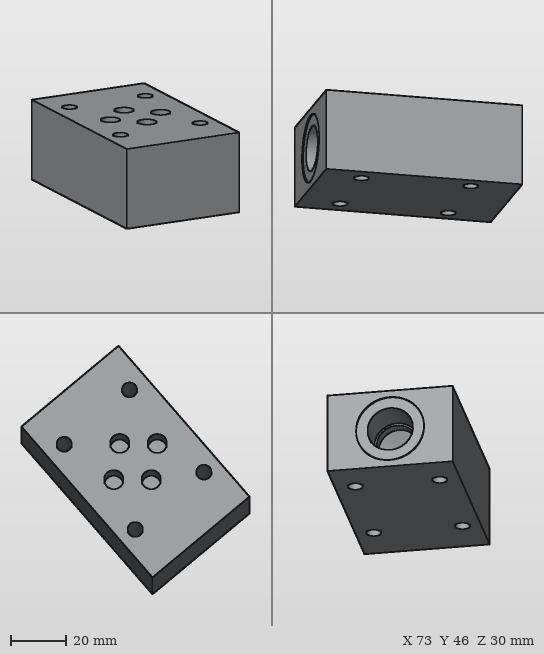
import cadquery as cq
import math

LENGTH = 73.0
WIDTH = 46.0
HEIGHT = 30.0

MOUNT_DIAMETER = 5.5
MOUNT_LEFT_X = -21.5
MOUNT_RIGHT_X = 19.0
MOUNT_LEFT_Y = 15.5
MOUNT_RIGHT_Y = 16.3

VALVE_PORT_DIAMETER = 7.0
VALVE_PORT_DEPTH = 10.0
VALVE_PORT_X = 8.75
VALVE_PORT_Y = 10.3

SPOTFACE_DIAMETER = 25.0
SPOTFACE_DEPTH = 0.5
THREAD_DIAMETER = 16.65
THREAD_DEPTH = 14.0
DRILL_DIAMETER = 15.0
DRILL_DEPTH = 18.0
DRILL_POINT_ANGLE = 118.0


def make_block():
    return cq.Workplane("XY").box(LENGTH, WIDTH, HEIGHT)


def cut_mounting_holes(body):
    centres = [
        (x, side * y)
        for x, y in [(MOUNT_LEFT_X, MOUNT_LEFT_Y), (MOUNT_RIGHT_X, MOUNT_RIGHT_Y)]
        for side in (-1, 1)
    ]
    return body.faces(">Z").workplane(origin=(0, 0, 0)).pushPoints(centres).hole(MOUNT_DIAMETER)


def cut_valve_ports(body):
    centres = [
        (-VALVE_PORT_X, 0),
        (VALVE_PORT_X, 0),
        (0, -VALVE_PORT_Y),
        (0, VALVE_PORT_Y),
    ]
    top = body.faces(">Z").workplane(origin=(0, 0, 0))
    return top.pushPoints(centres).hole(VALVE_PORT_DIAMETER, VALVE_PORT_DEPTH)


def cut_pressure_port(body):
    """Revolve the half profile of the port about the block's long axis."""
    face_x = -LENGTH / 2
    drill_radius = DRILL_DIAMETER / 2
    point_length = drill_radius / math.tan(math.radians(DRILL_POINT_ANGLE / 2))
    cavity = (
        cq.Workplane("XZ")
        .moveTo(face_x, 0)
        .lineTo(face_x, SPOTFACE_DIAMETER / 2)
        .lineTo(face_x + SPOTFACE_DEPTH, SPOTFACE_DIAMETER / 2)
        .lineTo(face_x + SPOTFACE_DEPTH, THREAD_DIAMETER / 2)
        .lineTo(face_x + THREAD_DEPTH, THREAD_DIAMETER / 2)
        .lineTo(face_x + THREAD_DEPTH, drill_radius)
        .lineTo(face_x + DRILL_DEPTH, drill_radius)
        .lineTo(face_x + DRILL_DEPTH + point_length, 0)
        .close()
        .revolve(360, (0, 0, 0), (1, 0, 0))
    )
    return body.cut(cavity)


result = make_block()
result = cut_mounting_holes(result)
result = cut_valve_ports(result)
result = cut_pressure_port(result)